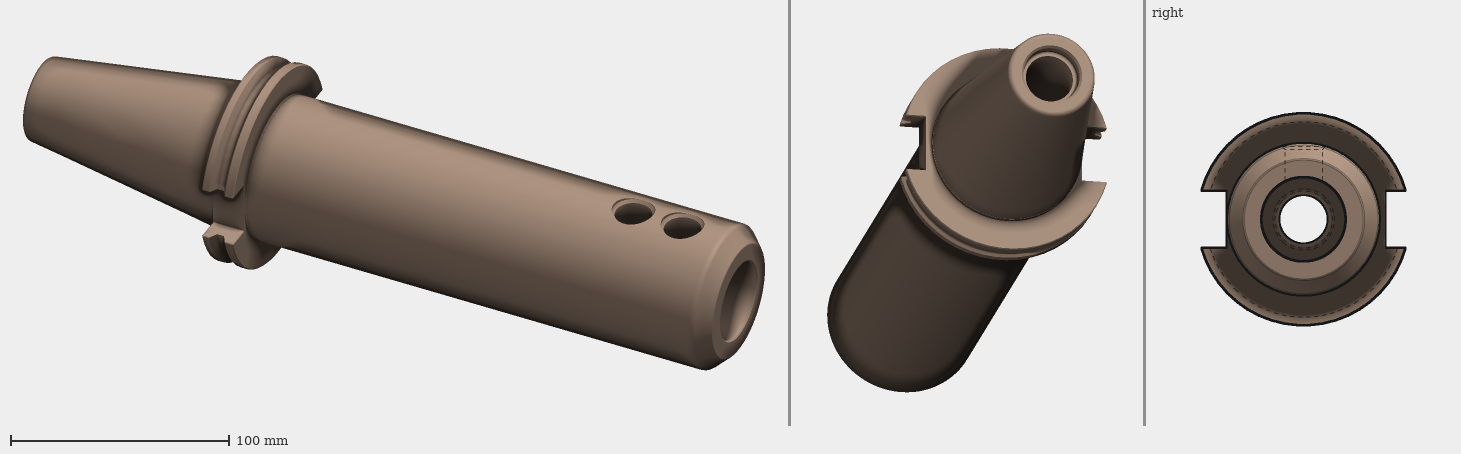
import cadquery as cq
import math


full_turn = 360

gauge_radius = 69.85 / 2
taper_length = 101.75
taper_overrun = 0.6
small_end = -taper_length
taper_slope = 7 / 24 / 2
small_end_fillet = 2.2

flange_radius = 97.5 / 2
flange_start = 3.2
flange_end = 19.1
flange_width = flange_end - flange_start
flange_chamfer = 0.45
groove_center = 10.9
groove_floor_radius = 89.6 / 2
groove_floor_width = 3.5
groove_flank_angle = 30

slot_width = 25.7
slot_floor_back = 37.7
slot_floor_front = 35.3
edge_tolerance = 0.01

total_length = 355.62
shank_end = total_length - taper_length
shank_radius = gauge_radius
collar_radius = 70.2 / 2
collar_width = 1.0
nose_chamfer = 7.3
shank_corner_fillet = 3.0
nose_edge_fillet = 1.0

stud_bore_radius = 21.97 / 2
stud_pilot_radius = 26.2 / 2
stud_pilot_depth = 6.0
stud_mouth_radius = 28.2 / 2
tool_bore_radius = 38.1 / 2
tool_mouth_radius = 39.1 / 2
tool_bore_depth = 110.0

screw_radius = 17.32 / 2
screw_mouth_radius = 20 / 2
screw_end_distances = (28.6, 53.6)


def revolve_profile(points):
    """Turn an (x, radius) outline around the X axis."""
    return cq.Workplane("XY").polyline(points).close().revolve(full_turn, (0, 0, 0), (1, 0, 0))


def make_spindle():
    """Taper, collar and shank without the flange."""
    small_radius = gauge_radius - taper_length * taper_slope
    taper_end_radius = gauge_radius + taper_overrun * taper_slope
    collar_end = flange_end + collar_width
    spindle = revolve_profile([
        (small_end, 0),
        (small_end, small_radius),
        (taper_overrun, taper_end_radius),
        (taper_overrun, collar_radius),
        (collar_end, collar_radius),
        (collar_end, shank_radius),
        (shank_end - nose_chamfer, shank_radius),
        (shank_end, shank_radius - nose_chamfer),
        (shank_end, 0),
    ])
    spindle = spindle.faces("<X").edges().fillet(small_end_fillet)
    spindle = spindle.faces(">X").edges().fillet(nose_edge_fillet)
    shank_corner = cq.selectors.NearestToPointSelector((shank_end - nose_chamfer, 0, 0))
    return spindle.edges(shank_corner).fillet(shank_corner_fillet)


def make_slot(floor, side):
    """Drive slot outside |Y| = floor; side is +1 for +Y and -1 for -Y."""
    depth = flange_radius - floor
    center = ((flange_start + flange_end) / 2, side * (floor + depth / 2), 0)
    return cq.Workplane("XY").box(flange_width, depth, slot_width).translate(center)


def is_outer_edge(edge):
    """True for flange edges that do not touch a slot floor along their length."""
    y = edge.Center().y
    return abs(y - slot_floor_back) > edge_tolerance and abs(y + slot_floor_front) > edge_tolerance


def make_groove():
    """V groove around the flange, with a flat floor."""
    half_floor = groove_floor_width / 2
    depth = flange_radius - groove_floor_radius
    half_mouth = half_floor + depth * math.tan(math.radians(groove_flank_angle))
    return revolve_profile([
        (groove_center - half_mouth, flange_radius),
        (groove_center - half_floor, groove_floor_radius),
        (groove_center + half_floor, groove_floor_radius),
        (groove_center + half_mouth, flange_radius),
    ])


def make_flange():
    """Slotted disc with broken outer edges and a V groove."""
    disc = cq.Workplane("YZ", origin=(flange_start, 0, 0)).circle(flange_radius).extrude(flange_width)
    disc = disc.cut(make_slot(slot_floor_back, 1)).cut(make_slot(slot_floor_front, -1))
    disc = disc.edges().filter(is_outer_edge).chamfer(flange_chamfer)
    return disc.cut(make_groove())


def make_bores():
    """Through bore: stud thread from the taper end, tool bore from the nose."""
    stud_mouth_depth = stud_mouth_radius - stud_pilot_radius
    tool_mouth_depth = tool_mouth_radius - tool_bore_radius
    return revolve_profile([
        (small_end, 0),
        (small_end, stud_mouth_radius),
        (small_end + stud_mouth_depth, stud_pilot_radius),
        (small_end + stud_pilot_depth, stud_pilot_radius),
        (small_end + stud_pilot_depth, stud_bore_radius),
        (shank_end - tool_bore_depth, stud_bore_radius),
        (shank_end - tool_bore_depth, tool_bore_radius),
        (shank_end - tool_mouth_depth, tool_bore_radius),
        (shank_end, tool_mouth_radius),
        (shank_end, 0),
    ])


def make_screw_hole(end_distance):
    """Radial hole from the +Z side into the tool bore, with a 45 degree mouth."""
    mouth_depth = screw_mouth_radius - screw_radius
    edge_height = math.sqrt(shank_radius**2 - screw_mouth_radius**2)
    hole = (
        cq.Workplane("XZ")
        .polyline([
            (0, 0),
            (screw_radius, 0),
            (screw_radius, edge_height - mouth_depth),
            (screw_mouth_radius, edge_height),
            (screw_mouth_radius, flange_radius),
            (0, flange_radius),
        ])
        .close()
        .revolve(full_turn, (0, 0, 0), (0, 1, 0))
    )
    return hole.translate((shank_end - end_distance, 0, 0))


result = make_spindle().union(make_flange()).cut(make_bores())
for distance in screw_end_distances:
    result = result.cut(make_screw_hole(distance))